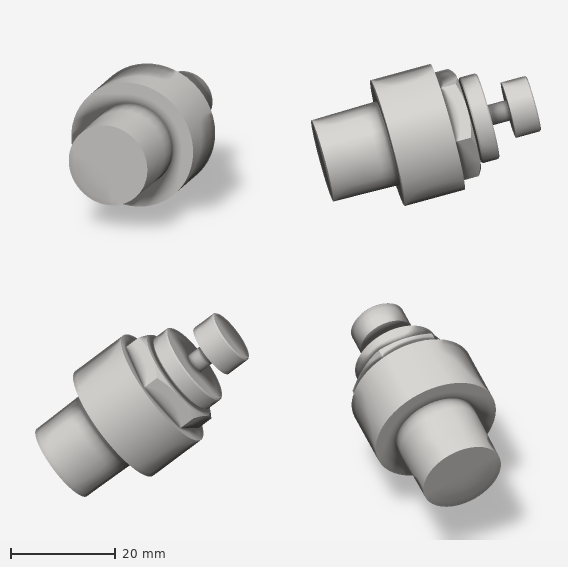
import cadquery as cq
import math

total_length = 42.0
plug_length = 12.98
plug_tip_diameter = 16.13
plug_root_diameter = 16.65
body_length = 11.9
body_diameter = 25.0
nut_thickness = 4.05
nut_across_flats = 19.03
nut_chamfer_angle = 30.0
ring_gap = 0.5
ring_thickness = 3.5
ring_diameter = 17.0
ring_chamfer = 0.25
stem_diameter = 4.0
button_length = 5.0
button_diameter = 11.0
button_chamfer = 0.25

body_start = plug_length
nut_start = body_start + body_length
nut_end = nut_start + nut_thickness
ring_start = nut_end + ring_gap
button_start = total_length - button_length


def disc(diameter, start, length):
    """Cylinder on the Y axis, running from start toward +Y."""
    plane = cq.Workplane("XZ", origin=(0, start, 0))
    return plane.circle(diameter / 2).extrude(-length)


def tapered_plug():
    """Plug that narrows toward the front end."""
    profile = [
        (0, 0),
        (plug_tip_diameter / 2, 0),
        (plug_root_diameter / 2, plug_length),
        (0, plug_length),
    ]
    return cq.Workplane("XY").polyline(profile).close().revolve(360, (0, 0, 0), (0, 1, 0))


def hex_nut():
    """Hexagon with corners on X, its rear corners trimmed by a cone."""
    across_corners = nut_across_flats / math.cos(math.radians(30))
    plane = cq.Workplane("XZ", origin=(0, nut_start, 0))
    prism = plane.polygon(6, across_corners).extrude(-nut_thickness)

    flat_radius = nut_across_flats / 2
    corner_radius = across_corners / 2
    chamfer_drop = (corner_radius - flat_radius) * math.tan(math.radians(nut_chamfer_angle))
    envelope_profile = [
        (0, nut_start),
        (corner_radius, nut_start),
        (corner_radius, nut_end - chamfer_drop),
        (flat_radius, nut_end),
        (0, nut_end),
    ]
    envelope = cq.Workplane("XY").polyline(envelope_profile).close()
    return prism.intersect(envelope.revolve(360, (0, 0, 0), (0, 1, 0)))


body = disc(body_diameter, body_start, body_length)
stem = disc(stem_diameter, nut_end, button_start - nut_end)
ring = disc(ring_diameter, ring_start, ring_thickness).edges().chamfer(ring_chamfer)
button = disc(button_diameter, button_start, button_length).faces(">Y").edges().chamfer(button_chamfer)

result = tapered_plug().union(body).union(hex_nut()).union(stem).union(ring).union(button)